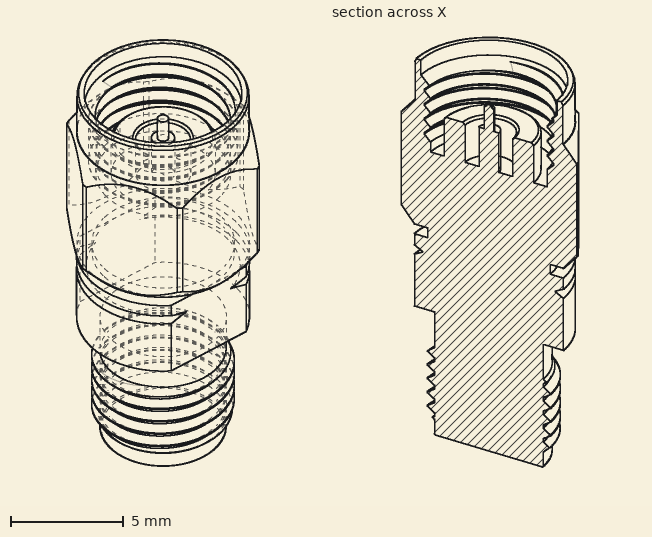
import cadquery as cq
import math

total_height = 19.1
thread_bottom = 0.78
thread_top = 4.56
body_bottom = 6.32
body_top = 10.07
nut_bottom = 10.55
hex_top = 16.95

barrel_radius = 2.8
barrel_edge_chamfer = 0.05
barrel_thread_pitch = 0.7
thread_outer_radius = 3.17
thread_phase_height = 4.05
thread_ridge_width = 0.57
thread_crest_width = 0.05
thread_overlap = 0.02

body_radius = 3.84
flat_distance = 3.17
groove_height = 9.25
groove_depth = 0.42
groove_half_width = 0.23
neck_radius = 3.17

hex_across_flats = 7.95
hex_across_corners = 9.03
hex_end_radius = 3.84
corner_chamfer_height = 0.8
collar_radius = 3.82
collar_chamfer_height = 0.17
collar_chamfer_width = 0.08

mouth_radius = 3.5
mouth_depth = 0.76
inner_major_radius = 3.32
inner_minor_radius = 3.0
cavity_floor = 14.52
inner_thread_pitch = 0.75
inner_groove_width = 0.73
inner_thread_bottom = 15.18
inner_thread_margin = 0.1

sleeve_radius = 2.31
sleeve_top = 16.55
sleeve_chamfer = 0.11
socket_radius = 1.22
pin_base_radius = 0.52
pin_radius = 0.25
pin_tip = 17.9


def cylinder(radius, bottom, top):
    return cq.Workplane("XY").workplane(offset=bottom).circle(radius).extrude(top - bottom)


def revolve_profile(points):
    """Turn a closed outline of (radius, height) points about the Z axis."""
    return cq.Workplane("XZ").polyline(points).close().revolve(360, (0, 0, 0), (0, 1, 0))


def helical_ridge(pitch, base_radius, tip_radius, base_width, bottom, top):
    """Right-handed V ridge whose centre line starts on the -X side at the bottom height."""
    path = cq.Wire.makeHelix(pitch, top - bottom, base_radius)
    half_base = base_width / 2
    half_crest = thread_crest_width / 2
    ridge = (
        cq.Workplane("XZ")
        .polyline([
            (base_radius, -half_base),
            (tip_radius, -half_crest),
            (tip_radius, half_crest),
            (base_radius, half_base),
        ])
        .close()
        .sweep(cq.Workplane(obj=path), isFrenet=True)
    )
    return ridge.rotate((0, 0, 0), (0, 0, 1), 180).translate((0, 0, bottom))


def threaded_barrel():
    barrel = cylinder(barrel_radius, 0, body_bottom).faces("<Z").chamfer(barrel_edge_chamfer)
    turns_below = math.ceil((thread_phase_height - thread_bottom) / barrel_thread_pitch)
    ridge = helical_ridge(
        barrel_thread_pitch,
        barrel_radius - thread_overlap,
        thread_outer_radius,
        thread_ridge_width,
        thread_phase_height - turns_below * barrel_thread_pitch,
        thread_phase_height + barrel_thread_pitch,
    )
    clearance_radius = thread_outer_radius + thread_overlap
    rise = clearance_radius - barrel_radius
    envelope = revolve_profile([
        (0, thread_bottom - barrel_radius),
        (clearance_radius, thread_bottom + rise),
        (clearance_radius, thread_top - rise),
        (0, thread_top + barrel_radius),
    ])
    return barrel.union(ridge.intersect(envelope))


def flatted_body():
    body = cylinder(body_radius, body_bottom, body_top)
    groove = revolve_profile([
        (body_radius - groove_depth, groove_height),
        (body_radius, groove_height - groove_half_width),
        (body_radius, groove_height + groove_half_width),
    ])
    flats = (
        cq.Workplane("XY")
        .workplane(offset=body_bottom)
        .rect(2 * flat_distance, 2 * body_radius)
        .extrude(body_top - body_bottom)
    )
    neck = cylinder(neck_radius, body_top, nut_bottom)
    return body.cut(groove).intersect(flats).union(neck)


def hex_nut():
    corner_to_corner = hex_across_flats / math.cos(math.pi / 6)
    prism = (
        cq.Workplane("XY")
        .workplane(offset=nut_bottom)
        .polygon(6, corner_to_corner)
        .extrude(hex_top - nut_bottom)
        .rotate((0, 0, 0), (0, 0, 1), 30)
    )
    corner_radius = hex_across_corners / 2
    envelope = revolve_profile([
        (0, nut_bottom),
        (hex_end_radius, nut_bottom),
        (corner_radius, nut_bottom + corner_chamfer_height),
        (corner_radius, hex_top - corner_chamfer_height),
        (hex_end_radius, hex_top),
        (0, hex_top),
    ])
    collar = cylinder(collar_radius, hex_top, total_height).faces(">Z").chamfer(
        collar_chamfer_height, collar_chamfer_width
    )
    return prism.intersect(envelope).union(collar)


def hollow_nut():
    mouth_floor = total_height - mouth_depth
    lead_in_bottom = mouth_floor - (mouth_radius - inner_minor_radius)
    bore = revolve_profile([
        (0, cavity_floor),
        (inner_minor_radius, cavity_floor),
        (inner_minor_radius, lead_in_bottom),
        (mouth_radius, mouth_floor),
        (mouth_radius, total_height),
        (0, total_height),
    ])
    thread_groove = helical_ridge(
        inner_thread_pitch,
        inner_minor_radius - thread_overlap,
        inner_major_radius,
        inner_groove_width,
        inner_thread_bottom,
        mouth_floor - inner_thread_margin,
    )
    return hex_nut().cut(bore).cut(thread_groove)


def contact_sleeve():
    sleeve = cylinder(sleeve_radius, cavity_floor, sleeve_top).faces(">Z").chamfer(sleeve_chamfer)
    socket = revolve_profile([
        (0, cavity_floor),
        (socket_radius, cavity_floor),
        (socket_radius, sleeve_top - sleeve_chamfer),
        (socket_radius + sleeve_chamfer, sleeve_top),
        (0, sleeve_top),
    ])
    pin = revolve_profile([
        (0, cavity_floor),
        (pin_base_radius, cavity_floor),
        (pin_base_radius, sleeve_top),
        (pin_radius, sleeve_top),
        (pin_radius, pin_tip - pin_radius),
        (0, pin_tip),
    ])
    return sleeve.cut(socket).union(pin)


result = hollow_nut().union(contact_sleeve()).union(flatted_body()).union(threaded_barrel())